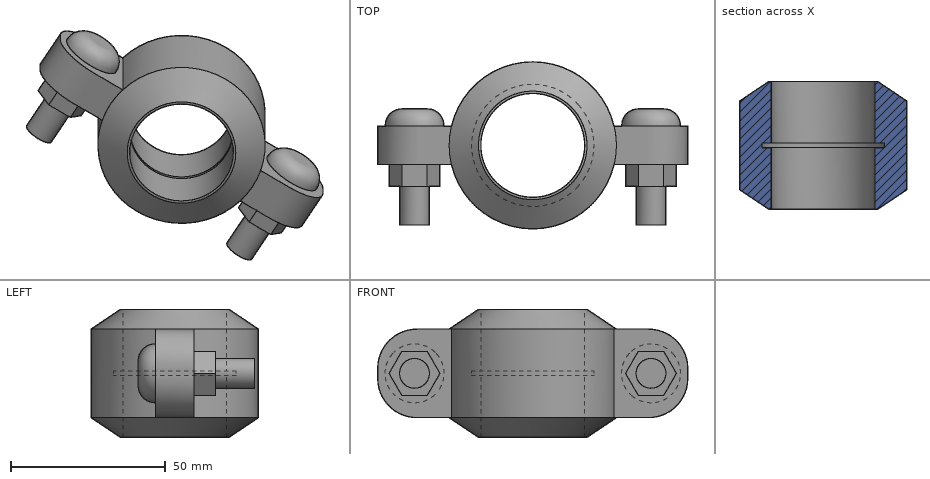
import cadquery as cq

ring_radius = 27.03
ring_height = 41.4
rim_radius = 17.6
bore_radius = 16.8
groove_width = 1.5
groove_depth = 3.0

ear_span = 100.3
ear_height = 28.7
ear_thickness = 12.4
ear_corner_radius = 12.7

bolt_x = 38.2
shank_radius = 4.8
shank_tip_y = -25.8
head_radius = 9.5
head_height = 5.6
head_round = 5.4
nut_across_corners = 16.5
nut_height = 7.0

half_ear = ear_thickness / 2


def ring_blank():
    """Solid ring body whose conical ends start level with the ear edges."""
    shoulder_z = ear_height / 2
    end_z = ring_height / 2
    profile = [
        (0, -end_z),
        (rim_radius, -end_z),
        (ring_radius, -shoulder_z),
        (ring_radius, shoulder_z),
        (rim_radius, end_z),
        (0, end_z),
    ]
    return cq.Workplane("XZ").polyline(profile).close().revolve(360, (0, 0), (0, 1))


def ears():
    """One bar across the ring, rounded at its four outer corners."""
    bar = cq.Workplane("XY").box(ear_span, ear_thickness, ear_height)
    return bar.edges("|Y").fillet(ear_corner_radius)


def bore():
    """Through bore with a narrow groove at mid-height."""
    hole = cq.Workplane("XY").circle(bore_radius).extrude(ring_height / 2, both=True)
    groove_radius = bore_radius + groove_depth
    groove = cq.Workplane("XY").circle(groove_radius).extrude(groove_width / 2, both=True)
    return hole.union(groove)


def bolt(x):
    """Round-headed bolt with its hexagonal nut; XZ extrusions run toward -Y."""
    head = (
        cq.Workplane("XZ", origin=(x, half_ear + head_height, 0))
        .circle(head_radius)
        .extrude(head_height)
        .edges(">Y")
        .fillet(head_round)
    )
    shank = (
        cq.Workplane("XZ", origin=(x, half_ear, 0))
        .circle(shank_radius)
        .extrude(half_ear - shank_tip_y)
    )
    nut = (
        cq.Workplane("XZ", origin=(x, -half_ear, 0))
        .polygon(6, nut_across_corners)
        .extrude(nut_height)
    )
    return head.union(shank).union(nut)


result = ring_blank().union(ears()).cut(bore())
for side in (-1, 1):
    result = result.union(bolt(side * bolt_x))